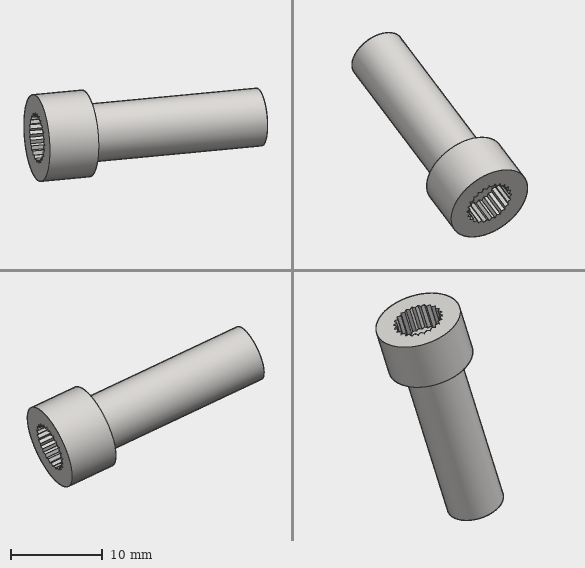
import cadquery as cq
import math

total_length = 25.4
head_diameter = 9.52
head_length = 5.6
shank_diameter = 6.35
bore_diameter = 2.6

tooth_count = 24
tip_radius = 2.75
root_radius = 2.45
socket_depth = 3.0

head_face_y = -total_length / 2


def cylinder(diameter, length):
    """Solid cylinder that starts at the head face and runs toward +Y."""
    plane = cq.Workplane("XZ", origin=(0, head_face_y, 0))
    return plane.circle(diameter / 2).extrude(-length)


def drive_socket():
    """Star-shaped prism whose alternating points are groove tips and ridge roots."""
    half_pitch = math.pi / tooth_count
    outline = []
    for index in range(2 * tooth_count):
        radius = tip_radius if index % 2 == 0 else root_radius
        angle = index * half_pitch
        outline.append((radius * math.cos(angle), radius * math.sin(angle)))
    plane = cq.Workplane("XZ", origin=(0, head_face_y, 0))
    return plane.polyline(outline).close().extrude(-socket_depth)


body = cylinder(head_diameter, head_length).union(cylinder(shank_diameter, total_length))

result = body.cut(cylinder(bore_diameter, total_length)).cut(drive_socket())